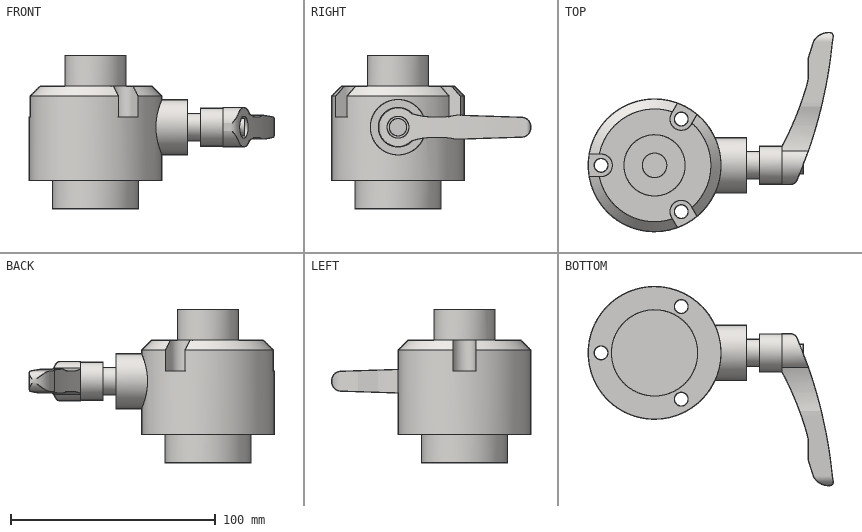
import cadquery as cq
import math

body_radius = 32.5
foot_radius = 21.1
boss_radius = 15.0
foot_height = 13.8
shoulder_z = 60.0
total_height = 75.0
shoulder_chamfer = 4.9
bore_diameter = 12.0
bore_depth = 24.0

collar_diameter = 27.1
collar_end_x = 45.0
arm_axis_z = 39.9

recess_count = 3
recess_width = 11.0
recess_depth = 15.1
screw_circle_radius = 26.1
screw_hole_diameter = 6.6
first_recess_angle = 60.0

stud_diameter = 13.5
sleeve_diameter = 18.7
tip_diameter = 8.5
sleeve_start_x = 51.3
lever_start_x = 62.3
tip_end_x = 72.7

hub_diameter = 19.3
hub_flat_y = -9.5
lever_bore_diameter = 10.7
lever_outer_x = 87.3
lever_tip_y = 64.9
tip_round_start_y = 60.5
tip_half_thickness = 4.9
hub_blend_y = 7.1
hub_blend_half_thickness = math.sqrt((hub_diameter / 2) ** 2 - hub_blend_y**2)
waist_y = 19.4
waist_half_thickness = 4.9
crest_start_y = 28.5
crest_end_y = 30.7
crest_half_thickness = 5.9


def x_cylinder(diameter, start_x, end_x):
    """Cylinder along X on the lever axis."""
    return (
        cq.Workplane("YZ", origin=(start_x, 0, arm_axis_z))
        .circle(diameter / 2)
        .extrude(end_x - start_x)
    )


def screw_recess(angle):
    """Round-ended recess, open outwards, with a screw hole through its floor."""
    floor_z = shoulder_z - recess_depth
    pocket = (
        cq.Workplane("XY", origin=(0, 0, floor_z))
        .center(screw_circle_radius, 0)
        .circle(recess_width / 2)
        .extrude(recess_depth)
    )
    mouth = cq.Workplane("XY").box(
        body_radius, recess_width, recess_depth, centered=(False, True, False)
    ).translate((screw_circle_radius, 0, floor_z))
    hole = (
        cq.Workplane("XY")
        .center(screw_circle_radius, 0)
        .circle(screw_hole_diameter / 2)
        .extrude(shoulder_z)
    )
    return pocket.union(mouth).union(hole).rotate((0, 0, 0), (0, 0, 1), angle)


def make_housing():
    foot = cq.Workplane("XY").circle(foot_radius).extrude(foot_height)
    drum = (
        cq.Workplane("XY", origin=(0, 0, foot_height))
        .circle(body_radius)
        .extrude(shoulder_z - foot_height)
        .faces(">Z")
        .chamfer(shoulder_chamfer)
    )
    boss = (
        cq.Workplane("XY", origin=(0, 0, shoulder_z))
        .circle(boss_radius)
        .extrude(total_height - shoulder_z)
    )
    collar = x_cylinder(collar_diameter, 0, collar_end_x)
    housing = drum.union(foot).union(boss).union(collar)
    for i in range(recess_count):
        housing = housing.cut(screw_recess(first_recess_angle + i * 360 / recess_count))
    return housing.faces(">Z").workplane(origin=(0, 0, 0)).hole(bore_diameter, bore_depth)


def make_stud():
    neck = x_cylinder(stud_diameter, collar_end_x, sleeve_start_x)
    sleeve = x_cylinder(sleeve_diameter, sleeve_start_x, lever_start_x)
    tip = x_cylinder(tip_diameter, lever_start_x, tip_end_x)
    return neck.union(sleeve).union(tip)


def lever_plan():
    """Swept-back lever outline in XY, thick enough to hold the whole hub."""
    corner_start = (66.2, hub_flat_y)
    corner_middle = (68.4, -8.7)
    corner_end = (69.8, -6.8)
    outer_start = (75.2, hub_blend_y)
    outer_middle = (82.0, crest_end_y)
    outer_end = (87.0, tip_round_start_y)
    tip_corner_start = (lever_outer_x, 62.8)
    tip_corner_middle = (86.8, 64.3)
    tip_top = (85.5, lever_tip_y)
    tip_inner_middle = (80.7, 63.7)
    tip_inner_end = (77.6, tip_round_start_y)
    grip_flat_x = 75.0
    upper_bend = [(75.3, 53.4), (grip_flat_x, 52.0)]
    lower_bend = [(grip_flat_x, 42.2), (74.5, 39.9)]
    inner_middle = (69.5, 25.0)
    inner_end = (lever_start_x, 9.5)
    return (
        cq.Workplane("XY", origin=(0, 0, arm_axis_z))
        .moveTo(lever_start_x, hub_flat_y)
        .lineTo(*corner_start)
        .threePointArc(corner_middle, corner_end)
        .lineTo(*outer_start)
        .threePointArc(outer_middle, outer_end)
        .lineTo(*tip_corner_start)
        .threePointArc(tip_corner_middle, tip_top)
        .threePointArc(tip_inner_middle, tip_inner_end)
        .polyline(upper_bend + lower_bend, includeCurrent=True)
        .threePointArc(inner_middle, inner_end)
        .close()
        .extrude(hub_diameter / 2, both=True)
    )


def arm_side_profile():
    """Arm thickness along Y: waisted beside the hub, tapering to a round tip."""
    hub_fillet_middle = (12.7, 5.3)
    crest_rise_middle = (24.2, 5.2)
    tip_round_middle = (63.6, 3.5)
    upper = (
        cq.Workplane("YZ", origin=(0, 0, arm_axis_z))
        .moveTo(0, 0)
        .lineTo(0, hub_blend_half_thickness)
        .lineTo(hub_blend_y, hub_blend_half_thickness)
        .threePointArc(hub_fillet_middle, (waist_y, waist_half_thickness))
        .threePointArc(crest_rise_middle, (crest_start_y, crest_half_thickness))
        .lineTo(crest_end_y, crest_half_thickness)
        .lineTo(tip_round_start_y, tip_half_thickness)
        .threePointArc(tip_round_middle, (lever_tip_y, 0))
        .close()
        .extrude(lever_outer_x)
    )
    lower = upper.mirror("XY", (0, 0, arm_axis_z))
    return upper.union(lower)


def make_lever():
    hub = x_cylinder(hub_diameter, lever_start_x, lever_outer_x)
    bore = x_cylinder(lever_bore_diameter, lever_start_x, lever_outer_x)
    return hub.union(arm_side_profile()).intersect(lever_plan()).cut(bore)


housing = make_housing()
stud = make_stud()
lever = make_lever()
result = cq.Compound.makeCompound([housing.val(), stud.val(), lever.val()])